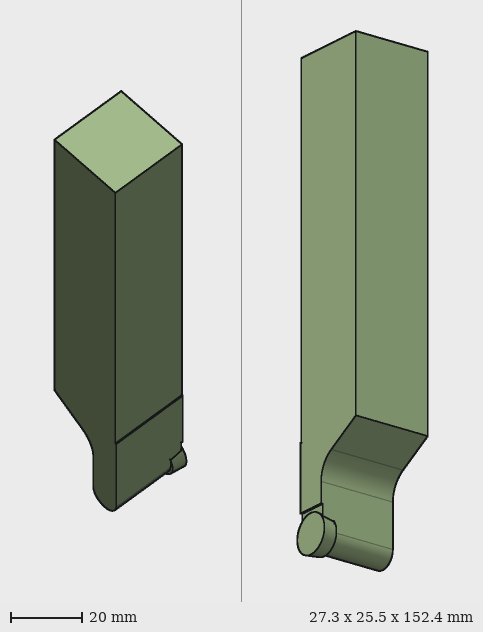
import cadquery as cq
import math

overall_length = 152.4
shank_width = 25.5
shank_depth = 25.5
insert_diameter = 12.6
insert_thickness = 4.7
insert_relief_angle = 7.0
overall_width = 27.3
neck_width = 9.6
shoulder_height = 35.5
shoulder_angle = 30.0
shoulder_fillet = 9.5
clearance_depth = 0.6
clearance_height = 14.0

insert_radius = insert_diameter / 2
neck_radius = neck_width / 2
neck_reach = overall_width - insert_radius
neck_left = neck_reach - neck_radius
neck_right = neck_reach + neck_radius
tip_height = insert_radius
neck_top = shoulder_height - neck_left * math.tan(math.radians(shoulder_angle))


def make_insert():
    """Round cutting insert, tapering from its cutting face at the back to its seat."""
    return (
        cq.Workplane("XZ", origin=(neck_reach, shank_depth, tip_height))
        .circle(insert_radius)
        .extrude(insert_thickness, taper=insert_relief_angle)
    )


def make_holder_blank():
    """Square shank with a narrow, round-ended neck below a sloping shoulder."""
    blank = (
        cq.Workplane("XZ")
        .moveTo(0, overall_length)
        .lineTo(0, shoulder_height)
        .lineTo(neck_left, neck_top)
        .lineTo(neck_left, tip_height)
        .threePointArc((neck_reach, tip_height - neck_radius), (neck_right, tip_height))
        .lineTo(neck_right, shoulder_height)
        .lineTo(shank_width, shoulder_height)
        .lineTo(shank_width, overall_length)
        .close()
        .extrude(-shank_depth)
    )
    inner_corner = cq.selectors.NearestToPointSelector((neck_left, shank_depth / 2, neck_top))
    return blank.edges(inner_corner).fillet(shoulder_fillet)


def make_clearance():
    """Shallow step that leaves the cutting face standing proud of the neck."""
    return (
        cq.Workplane("XY", origin=(0, shank_depth - clearance_depth, 0))
        .box(neck_right, clearance_depth, clearance_height, centered=False)
    )


insert = make_insert()
holder = make_holder_blank().cut(make_clearance()).cut(insert)

result = cq.Compound.makeCompound([holder.val(), insert.val()])